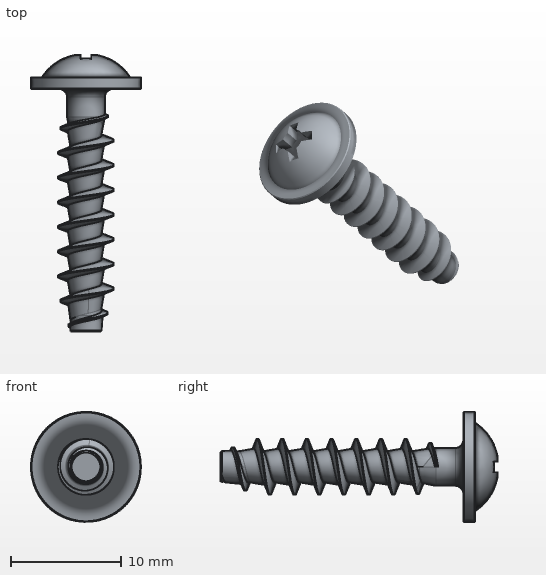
import cadquery as cq
import math


flange_radius = 5.0
flange_thickness = 1.1
flange_chamfer = 0.08
dome_base_radius = 4.0
dome_apex = 3.237

recess_core_radius = 1.1
recess_arm_reach = 1.97
recess_arm_width = 0.95
recess_depth = 1.6

screw_length = 22.0
shank_radius = 1.73
shank_end = -2.5
core_top = -4.0
underhead_fillet = 0.7

pitch = 2.24
thread_start = -2.41
crest_radius = 2.54
crest_width = 0.1
flank_angle = math.radians(20)
core_min_radius = 1.43
core_max_radius = 1.66
core_taper_start = -20.5
tip_radius = 1.34
tip_chamfer = 0.05
root_overlap = 0.01
turn_gap = 0.03
section_inner_radius = 1.0
samples_per_turn = 24

lead_in_crest_radius = 2.02
lead_in_turns = 0.85
run_out_start_turn = 7.23
run_out_end_turn = 8.7
run_out_crest_radius = 1.45
run_out_ridge_radius = 1.41

thread_stations = (
    (0.0, lead_in_crest_radius, core_max_radius),
    (lead_in_turns, crest_radius, core_max_radius),
    (run_out_start_turn, crest_radius, core_max_radius),
    (run_out_end_turn, run_out_crest_radius, run_out_ridge_radius),
)


def revolve_profile(profile):
    """Revolve a closed XZ outline a full turn about local Z."""
    return profile.close().revolve(360, (0, 0, 0), (0, 1, 0))


def make_head():
    """Chamfered washer flange with a spherical dome on top."""
    flange = (
        cq.Workplane("XY")
        .circle(flange_radius)
        .extrude(flange_thickness)
        .edges()
        .chamfer(flange_chamfer)
    )
    rise = dome_apex - flange_thickness
    sphere_radius = (dome_base_radius**2 + rise**2) / (2 * rise)
    mid_angle = math.asin(dome_base_radius / sphere_radius) / 2
    mid_point = (
        sphere_radius * math.sin(mid_angle),
        dome_apex - sphere_radius * (1 - math.cos(mid_angle)),
    )
    dome = revolve_profile(
        cq.Workplane("XZ")
        .moveTo(0, flange_thickness / 2)
        .lineTo(dome_base_radius, flange_thickness / 2)
        .lineTo(dome_base_radius, flange_thickness)
        .threePointArc(mid_point, (0, dome_apex))
    )
    return flange.union(dome)


def make_recess():
    """Blind cross recess: a round core with four straight arms."""
    floor = cq.Workplane("XY").workplane(offset=dome_apex - recess_depth)
    recess = floor.circle(recess_core_radius).extrude(recess_depth)
    for angle in (0, 90):
        arm = floor.rect(2 * recess_arm_reach, recess_arm_width).extrude(recess_depth)
        recess = recess.union(arm.rotate((0, 0, 0), (0, 0, 1), angle))
    return recess


def make_shank_and_core():
    """Shank with a fillet under the head, a cone, and the thread core, which runs past the tip."""
    fillet_radius_at_head = shank_radius + underhead_fillet
    fillet_offset = underhead_fillet * (1 - math.sqrt(0.5))
    return revolve_profile(
        cq.Workplane("XZ")
        .moveTo(0, flange_thickness / 2)
        .lineTo(fillet_radius_at_head, flange_thickness / 2)
        .lineTo(fillet_radius_at_head, 0)
        .threePointArc((shank_radius + fillet_offset, -fillet_offset), (shank_radius, -underhead_fillet))
        .lineTo(shank_radius, shank_end)
        .lineTo(core_min_radius, core_top)
        .lineTo(core_min_radius, core_taper_start)
        .lineTo(tip_radius, -screw_length)
        .lineTo(tip_radius, -pitch - screw_length)
        .lineTo(0, -pitch - screw_length)
    )


def thread_section(turn, crest, ridge):
    """Corners (radius, height) of the thread and the core ridge below it."""
    crest_height = thread_start - turn * pitch
    half_crest = crest_width / 2
    root = core_min_radius - root_overlap
    upper_root = half_crest + (crest - root) * math.tan(flank_angle)
    lower_root = half_crest + (crest - ridge) * math.tan(flank_angle)
    full_upper_root = half_crest + (crest_radius - root) * math.tan(flank_angle)
    ridge_end = full_upper_root - pitch + turn_gap
    corners = (
        (section_inner_radius, upper_root),
        (root, upper_root),
        (crest, half_crest),
        (crest, -half_crest),
        (ridge, -lower_root),
        (root, ridge_end),
        (section_inner_radius, ridge_end),
    )
    return [(radius, crest_height + height) for radius, height in corners]


def to_point(corner, turn):
    """Place a section corner; the right-hand thread turns clockwise going down."""
    radius, height = corner
    angle = -2 * math.pi * turn
    return cq.Vector(radius * math.cos(angle), radius * math.sin(angle), height)


def make_spiral(upper_turn, upper_corner, lower_turn, lower_corner):
    """Curve whose radius and height change evenly with the angle."""
    count = math.ceil((lower_turn - upper_turn) * samples_per_turn)
    points = []
    for index in range(count + 1):
        share = index / count
        corner = [a + (b - a) * share for a, b in zip(upper_corner, lower_corner)]
        points.append(to_point(corner, upper_turn + (lower_turn - upper_turn) * share))
    return cq.Edge.makeSpline(points, parameters=list(range(count + 1)))


def make_section_face(station):
    """Flat face that closes the thread at one of its ends."""
    turn = station[0]
    points = [to_point(corner, turn) for corner in thread_section(*station)]
    return cq.Face.makeFromWires(cq.Wire.makePolygon(points, close=True))


def make_thread():
    """Thread that rises at the upper end and runs out at the tip."""
    faces = [make_section_face(thread_stations[0]), make_section_face(thread_stations[-1])]
    for upper, lower in zip(thread_stations, thread_stations[1:]):
        corner_pairs = zip(thread_section(*upper), thread_section(*lower))
        spirals = [make_spiral(upper[0], a, lower[0], b) for a, b in corner_pairs]
        for index, spiral in enumerate(spirals):
            faces.append(cq.Face.makeRuledSurface(spirals[index - 1], spiral))
    return cq.Workplane(cq.Solid.makeSolid(cq.Shell.makeShell(faces)))


def make_tip_cutter():
    """Space beyond the flat tip and its 45 degree chamfer."""
    flat_radius = tip_radius - tip_chamfer
    return revolve_profile(
        cq.Workplane("XZ")
        .moveTo(0, -screw_length)
        .lineTo(flat_radius, -screw_length)
        .lineTo(flat_radius + pitch, pitch - screw_length)
        .lineTo(flat_radius + pitch, -2 * pitch - screw_length)
        .lineTo(0, -2 * pitch - screw_length)
    )


screw_body = make_shank_and_core().union(make_thread()).cut(make_tip_cutter())
screw = make_head().cut(make_recess()).union(screw_body)
result = screw.rotate((0, 0, 0), (1, 0, 0), -90)